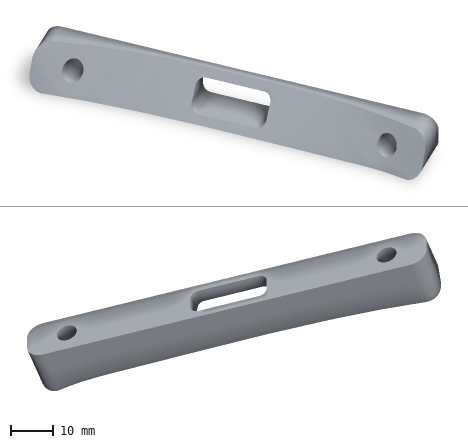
import cadquery as cq

length = 100.0
height = 11.0
depth = 12.6
corner_radius = 4.0

top_edge = [
    (-50.0, 7.0),
    (-45.0, 5.8),
    (-30.0, 3.2),
    (0.0, 1.9),
    (30.0, 3.2),
    (45.0, 5.8),
    (50.0, 7.0),
]
bottom_edge = [
    (-50.0, 13.2),
    (-45.0, 12.5),
    (-30.0, 11.2),
    (5.0, 10.6),
    (30.0, 10.9),
    (42.0, 11.5),
    (45.0, 12.0),
    (50.0, 12.8),
]

hole_diameter = 5.0
hole_spacing = 80.0
slot_length = 19.0
slot_height = 7.0
slot_radius = 2.0
slot_centre_x = -0.5

back_y = depth / 2
middle_z = height / 2
cut_margin = 1.0
cut_length = depth + 2 * cut_margin


def section_wire(front_edge, z):
    """Closed wire between the flat back and one curved front edge at height z."""
    points = [cq.Vector(x, back_y - distance, z) for x, distance in front_edge]
    left_back = cq.Vector(points[0].x, back_y, z)
    right_back = cq.Vector(points[-1].x, back_y, z)
    return cq.Wire.assembleEdges([
        cq.Edge.makeSpline(points),
        cq.Edge.makeLine(points[-1], right_back),
        cq.Edge.makeLine(right_back, left_back),
        cq.Edge.makeLine(left_back, points[0]),
    ])


def rounded_block(size_x, size_y, size_z, radius, centre_x=0.0):
    """Block at mid-height with its four edges along Y rounded."""
    block = cq.Workplane("XY").box(size_x, size_y, size_z)
    return block.edges("|Y").fillet(radius).translate((centre_x, 0, middle_z))


def mounting_holes():
    """Two round cutters along Y, one near each end."""
    return (
        cq.Workplane("XZ", origin=(0, depth / 2 + cut_margin, middle_z))
        .pushPoints([(-hole_spacing / 2, 0), (hole_spacing / 2, 0)])
        .circle(hole_diameter / 2)
        .extrude(cut_length)
    )


sections = [
    section_wire(bottom_edge, 0),
    section_wire(top_edge, height),
]
sloped_body = cq.Workplane(cq.Solid.makeLoft(sections, True))
bar = sloped_body.intersect(rounded_block(length, depth, height, corner_radius))

slot = rounded_block(slot_length, cut_length, slot_height, slot_radius, slot_centre_x)
result = bar.cut(slot).cut(mounting_holes())